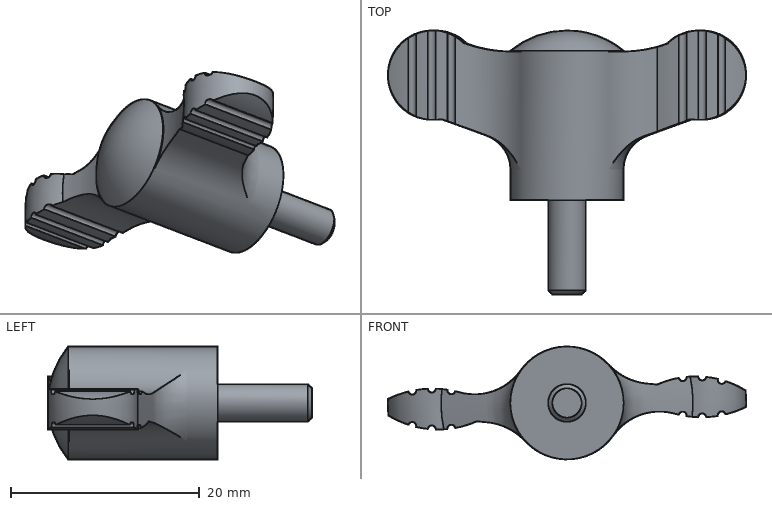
import cadquery as cq
import math

hub_radius = 6.0
hub_height = 15.85
overall_height = 18.0
stud_radius = 2.0
stud_length = 10.0
stud_chamfer = 0.45

wing_reach = 19.0
lobe_radius = 4.75
lobe_x = wing_reach - lobe_radius
lobe_y = overall_height - lobe_radius

saddle_low_x = 6.0
saddle_low_y = 15.75
saddle_end_x = 10.93
root_start_y = 3.25
root_radius = 3.8
underside_slope = math.radians(20)

upper_tangent_x = 4.41
upper_root_radius = 6.3
upper_flat_start_x = 8.42
upper_pad_start_x = 9.57
upper_pad_start_z = 1.96
upper_pad_radius = 10.0
upper_pad_crest_x = 13.65
lower_tangent_x = 4.9
lower_root_radius = 6.0
lower_pad_start_x = 11.4
lower_pad_radius = 10.67

groove_radius = 0.41
groove_pitch = 2.07
groove_count = 3
middle_groove_x = 14.33


def height_on_circle(x, center, radius, side):
    """Second coordinate at x of a circle, on its high (+1) or low (-1) side."""
    return center[1] + side * math.sqrt(radius**2 - (x - center[0]) ** 2)


def outer_tangent_center(tangent_x, radius, side):
    """Centre of a circle that touches the hub from outside at tangent_x."""
    tangent_z = side * math.sqrt(hub_radius**2 - tangent_x**2)
    ratio = 1 + radius / hub_radius
    return (tangent_x * ratio, tangent_z * ratio)


upper_root_center = outer_tangent_center(upper_tangent_x, upper_root_radius, 1)
lower_root_center = outer_tangent_center(lower_tangent_x, lower_root_radius, -1)

upper_pad_rise = math.sqrt(upper_pad_radius**2 - (upper_pad_crest_x - upper_pad_start_x) ** 2)
upper_pad_center = (upper_pad_crest_x, upper_pad_start_z - upper_pad_rise)

lower_pad_start_z = height_on_circle(lower_pad_start_x, lower_root_center, lower_root_radius, 1)
lower_ratio = 1 + lower_pad_radius / lower_root_radius
lower_pad_center = (
    lower_root_center[0] + (lower_pad_start_x - lower_root_center[0]) * lower_ratio,
    lower_root_center[1] + (lower_pad_start_z - lower_root_center[1]) * lower_ratio,
)


def upper_root(x):
    return (x, height_on_circle(x, upper_root_center, upper_root_radius, -1))


def upper_pad(x):
    return (x, height_on_circle(x, upper_pad_center, upper_pad_radius, 1))


def lower_root(x):
    return (x, height_on_circle(x, lower_root_center, lower_root_radius, 1))


def lower_pad(x):
    return (x, height_on_circle(x, lower_pad_center, lower_pad_radius, -1))


def make_body():
    """Domed hub and chamfered stud as one turned solid."""
    dome_height = overall_height - hub_height
    dome_radius = (hub_radius**2 + dome_height**2) / (2 * dome_height)
    dome_mid_x = hub_radius / 2
    dome_center = (0, overall_height - dome_radius)
    dome_mid_y = height_on_circle(dome_mid_x, dome_center, dome_radius, 1)
    return (
        cq.Workplane("XY")
        .moveTo(0, -stud_length)
        .lineTo(stud_radius - stud_chamfer, -stud_length)
        .lineTo(stud_radius, -stud_length + stud_chamfer)
        .lineTo(stud_radius, 0)
        .lineTo(hub_radius, 0)
        .lineTo(hub_radius, hub_height)
        .threePointArc((dome_mid_x, dome_mid_y), (0, overall_height))
        .close()
        .revolve(360, (0, 0, 0), (0, 1, 0))
    )


def make_wing_section():
    """Wing section in the XZ plane, extruded along Y from the hub face to the overall height."""
    upper_root_mid_x = (upper_tangent_x + upper_flat_start_x) / 2
    lower_root_mid_x = (lower_tangent_x + lower_pad_start_x) / 2
    return (
        cq.Workplane("XZ")
        .moveTo(0, 0)
        .lineTo(*upper_root(upper_tangent_x))
        .threePointArc(upper_root(upper_root_mid_x), upper_root(upper_flat_start_x))
        .lineTo(*upper_pad(upper_pad_start_x))
        .threePointArc(upper_pad(upper_pad_crest_x), upper_pad(wing_reach))
        .lineTo(*lower_pad(wing_reach))
        .threePointArc(lower_pad(lobe_x), lower_pad(lower_pad_start_x))
        .threePointArc(lower_root(lower_root_mid_x), lower_root(lower_tangent_x))
        .close()
        .extrude(-overall_height)
    )


def make_wing_outline():
    """Wing outline turned about the hub axis, so that every wing edge runs around the hub."""
    saddle_end_y = height_on_circle(saddle_end_x, (lobe_x, lobe_y), lobe_radius, 1)
    saddle_run = saddle_end_x - saddle_low_x
    saddle_rise = saddle_end_y - saddle_low_y
    saddle_radius = (saddle_run**2 + saddle_rise**2) / (2 * saddle_rise)
    saddle_center = (saddle_low_x, saddle_low_y + saddle_radius)
    saddle_start_y = height_on_circle(upper_tangent_x, saddle_center, saddle_radius, -1)

    def root(angle):
        return (
            hub_radius + root_radius * (1 - math.cos(angle)),
            root_start_y + root_radius * math.sin(angle),
        )

    root_sweep = math.pi / 2 - underside_slope
    root_end = root(root_sweep)
    to_lobe_x = lobe_x - root_end[0]
    to_lobe_y = lobe_y - root_end[1]
    lobe_along = to_lobe_x * math.cos(underside_slope) + to_lobe_y * math.sin(underside_slope)
    lobe_offset = to_lobe_y * math.cos(underside_slope) - to_lobe_x * math.sin(underside_slope)
    underside_length = lobe_along - math.sqrt(lobe_radius**2 - lobe_offset**2)
    underside_end = (
        root_end[0] + underside_length * math.cos(underside_slope),
        root_end[1] + underside_length * math.sin(underside_slope),
    )
    return (
        cq.Workplane("XY")
        .moveTo(0, root_start_y)
        .lineTo(hub_radius, root_start_y)
        .threePointArc(root(root_sweep / 2), root_end)
        .lineTo(*underside_end)
        .threePointArc((wing_reach, lobe_y), (saddle_end_x, saddle_end_y))
        .threePointArc((saddle_low_x, saddle_low_y), (upper_tangent_x, saddle_start_y))
        .lineTo(0, saddle_start_y)
        .close()
        .revolve(360, (0, 0, 0), (0, 1, 0))
        .rotate((0, 0, 0), (0, 1, 0), 90)
    )


def make_grooves():
    """Round grooves running along Y, centred on the two pad surfaces."""
    first_x = middle_groove_x - groove_pitch * (groove_count - 1) / 2
    points = []
    for index in range(groove_count):
        groove_x = first_x + index * groove_pitch
        points.append(upper_pad(groove_x))
        points.append(lower_pad(groove_x))
    return cq.Workplane("XZ").pushPoints(points).circle(groove_radius).extrude(-overall_height)


def make_wing():
    return make_wing_section().cut(make_grooves()).intersect(make_wing_outline())


wing = make_wing()
opposite_wing = wing.rotate((0, 0, 0), (0, 1, 0), 180)
result = make_body().union(wing).union(opposite_wing)